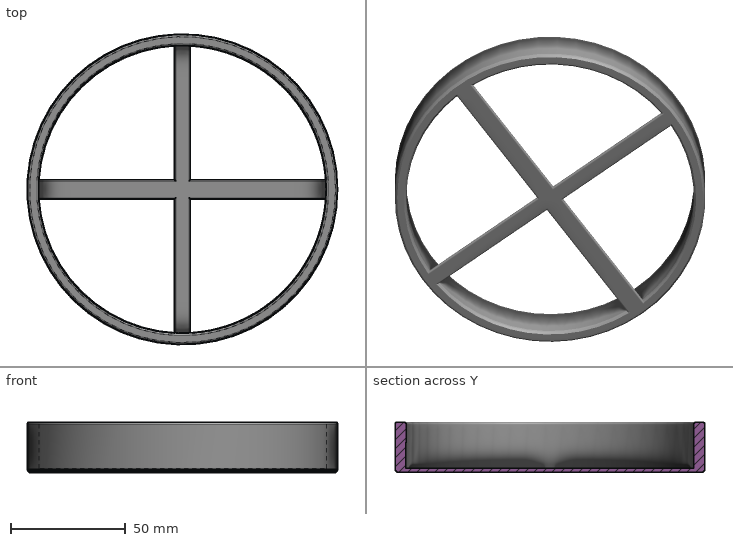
import cadquery as cq

outer_diameter = 135.0
bore_diameter = 125.0
height = 22.0
top_rim_radius = 1.0

steep_bevel_start = 1.5
steep_bevel_end = 0.75
steep_bevel_inset = 0.25
base_inset = 1.0

spoke_x_width = 8.5
spoke_y_width = 7.0
spoke_thickness = 2.0
spoke_edge_radius = 0.7

outer_radius = outer_diameter / 2
bore_radius = bore_diameter / 2
spoke_length = outer_radius + bore_radius


def make_ring():
    """Wall section revolved about Z, then rounded along both upper rims."""
    section = [
        (bore_radius, height),
        (bore_radius, steep_bevel_start),
        (bore_radius + steep_bevel_inset, steep_bevel_end),
        (bore_radius + base_inset, 0),
        (outer_radius - base_inset, 0),
        (outer_radius - steep_bevel_inset, steep_bevel_end),
        (outer_radius, steep_bevel_start),
        (outer_radius, height),
    ]
    wall = cq.Workplane("XZ").polyline(section).close().revolve(360, (0, 0), (0, 1))
    return wall.faces(">Z").edges().fillet(top_rim_radius)


def make_bar(length_x, length_y):
    """Flat bar centred on the axis, standing on the base plane."""
    return cq.Workplane("XY").rect(length_x, length_y).extrude(spoke_thickness)


def make_cross():
    """Two spokes crossing on the axis, rounded along all upper and lower edges."""
    along_x = make_bar(spoke_length, spoke_x_width)
    along_y = make_bar(spoke_y_width, spoke_length)
    return along_x.union(along_y).faces(">Z or <Z").edges().fillet(spoke_edge_radius)


result = make_ring().union(make_cross())